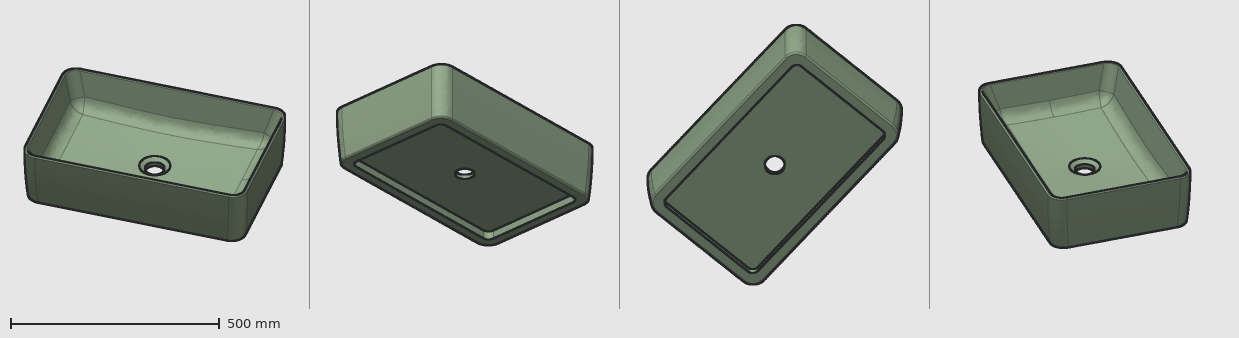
import cadquery as cq
import math

length = 560.0
width = 360.0
height = 145.0
base_inset = 6.5
outer_corner_radius = 36.0
base_edge_radius = 5.0

rim_thickness = 7.0
rim_edge_radius = 3.5

wall_slope = 0.3
bowl_corner_radius = 29.0
floor_edge_radius = 37.5
floor_slope = 0.06

drain_diameter = 47.5
drain_mouth_diameter = 74.5
drain_mouth_height = 42.5
drain_seat_depth = 8.5

recess_height = 22.5
foot_width = 28.0
recess_corner_radius = 17.0

clearance = 56.0


def bowed_bar(plane, span, bar_length):
    """Bar whose sides start vertical at the rim and bow inward to the base."""
    half_top = span / 2
    half_base = half_top - base_inset
    bow_radius = (height**2 + base_inset**2) / (2 * base_inset)
    mid_inset = bow_radius - math.sqrt(bow_radius**2 - (height / 2) ** 2)
    half_mid = half_top - mid_inset
    return (
        cq.Workplane(plane)
        .moveTo(-half_base, 0)
        .lineTo(half_base, 0)
        .threePointArc((half_mid, height / 2), (half_top, height))
        .lineTo(-half_top, height)
        .threePointArc((-half_mid, height / 2), (-half_base, 0))
        .close()
        .extrude(bar_length / 2, both=True)
    )


def edges_between(low, high):
    """Selector for edges whose centres lie between two heights."""
    return cq.selectors.BoxSelector((-length, -length, low), (length, length, high))


def outer_body():
    long_bar = bowed_bar("XZ", length, width + clearance)
    cross_bar = bowed_bar("YZ", width, length + clearance)
    body = long_bar.intersect(cross_bar)
    upright_edges = edges_between(height / 4, 3 * height / 4)
    body = body.edges(upright_edges).fillet(outer_corner_radius)
    return body.faces("<Z").edges().fillet(base_edge_radius)


def space_above_floor():
    """Everything above the shallow cone that falls towards the drain."""
    reach = length
    apex_height = drain_mouth_height - floor_slope * drain_mouth_diameter / 2
    top = height + clearance
    return (
        cq.Workplane("XZ")
        .moveTo(0, apex_height)
        .lineTo(reach, apex_height + floor_slope * reach)
        .lineTo(reach, top)
        .lineTo(0, top)
        .close()
        .revolve(360, (0, 0, 0), (0, 1, 0))
    )


def bowl():
    taper = math.degrees(math.atan(wall_slope))
    walls = (
        cq.Workplane("XY")
        .workplane(offset=height)
        .rect(length - 2 * rim_thickness, width - 2 * rim_thickness)
        .extrude(-height, taper=taper)
    )
    cavity = walls.intersect(space_above_floor())
    wall_corners = edges_between(height / 2, height - rim_thickness)
    cavity = cavity.edges(wall_corners).fillet(bowl_corner_radius)
    floor_boundary = edges_between(0, height / 2)
    return cavity.edges(floor_boundary).fillet(floor_edge_radius)


def drain():
    throat = cq.Workplane("XY").circle(drain_diameter / 2).extrude(drain_mouth_height)
    seat = (
        cq.Workplane("XY")
        .workplane(offset=drain_mouth_height - drain_seat_depth)
        .circle(drain_diameter / 2)
        .workplane(offset=drain_seat_depth)
        .circle(drain_mouth_diameter / 2)
        .loft()
    )
    return throat.union(seat)


def underside_recess():
    inset = base_inset + foot_width
    return (
        cq.Workplane("XY")
        .rect(length - 2 * inset, width - 2 * inset)
        .extrude(recess_height)
        .edges("|Z")
        .fillet(recess_corner_radius)
    )


basin = outer_body().cut(bowl())
basin = basin.faces(">Z").edges().fillet(rim_edge_radius)
result = basin.cut(underside_recess()).cut(drain())